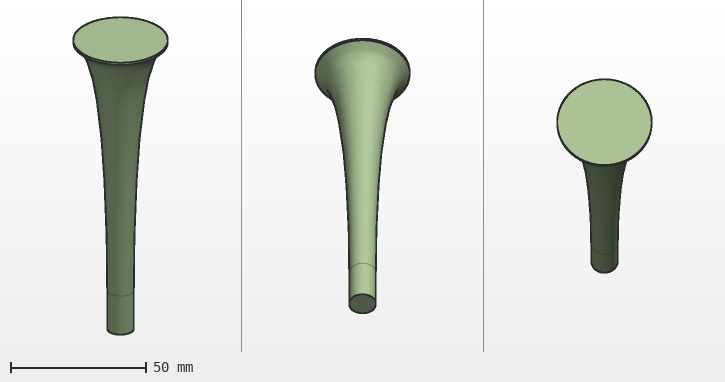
import cadquery as cq

total_height = 121.4
rim_radius = 35.0 / 2
rim_thickness = 1.0
shank_radius = 10.0 / 2
shank_height = 16.4

flare_points = [
    (5.2, 39.7),
    (5.8, 57.9),
    (6.8, 76.2),
    (8.6, 94.6),
    (10.5, 105.5),
    (12.5, 112.9),
    (14.8, 118.0),
]
rim_bottom = (rim_radius, total_height - rim_thickness)

shank_direction = (0, 1)
rim_direction = (1, 1)

profile = (
    cq.Workplane("XZ")
    .lineTo(shank_radius, 0)
    .lineTo(shank_radius, shank_height)
    .spline(
        flare_points + [rim_bottom],
        tangents=[shank_direction, rim_direction],
        includeCurrent=True,
    )
    .lineTo(rim_radius, total_height)
    .lineTo(0, total_height)
    .close()
)

result = profile.revolve(360, (0, 0, 0), (0, 1, 0))